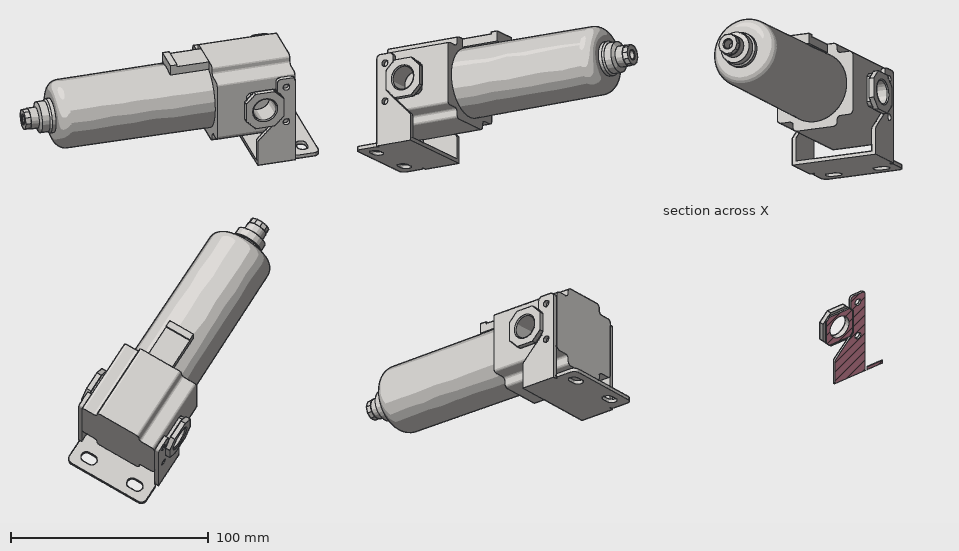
import cadquery as cq
import math


BODY_WIDTH = 43.0
BODY_HEIGHT = 43.5
SHOULDER_HEIGHT = 33.0
SPINE_WIDTH = 25.0
BODY_BACK = 17.2
BODY_FRONT = -23.8
BODY_RADIUS = 2.1

OVERALL_WIDTH = 52.5
FLANGE_SIZE = 20.0
FLANGE_CORNER = 5.0
FLANGE_THICKNESS = 2.7
NECK_SIZE = 17.1
NECK_CORNER = 2.0
PORT_DIAMETER = 12.0
PORT_DEPTH = 12.0
PORT_CHAMFER = 0.6

BOWL_ROOT_RADIUS = 18.0
BOWL_END_RADIUS = 17.5
BOWL_END = -105.2
BOWL_ROUNDING = 5.8

COLLAR_RADIUS = 8.8
COLLAR_LENGTH = 2.8
COLLAR_BEVEL_LENGTH = 0.9
KNOB_RADIUS = 8.0
KNOB_LENGTH = 5.0
KNOB_BEVEL_LENGTH = 0.9
STEM_RADIUS = 5.4
STEM_LENGTH = 4.2
TIP_RADIUS = 5.2
TIP_SIDES = 10
TIP_END = -120.0
DRAIN_BORE_RADIUS = 2.2
DRAIN_BORE_DEPTH = 6.0
DRAIN_BORE_CHAMFER = 0.5

LEVER_WIDTH = 14.1
LEVER_FRONT = -44.2
LEVER_BOTTOM = 17.2
LEVER_TOP = 21.6
LIP_TOP = 22.6
LIP_LENGTH = 3.6

SIDE_THICKNESS = 2.2
BASE_THICKNESS = 2.0
BRACKET_BACK = 16.8
BRACKET_FRONT = -3.2
BRACKET_TOP = 15.0
BRACKET_BOTTOM = -33.0
TAB_FRONT = 7.2
NOTCH_BACK = 9.0
NOTCH_TOP = 6.3
NOTCH_BOTTOM = -6.9
BRACKET_RADIUS = 2.0
SCREW_HOLE_DIAMETER = 3.5
SCREW_HOLE_Y = 12.0
SCREW_HOLE_SPACING = 20.1
FOOT_WIDTH = 45.6
FOOT_BACK = 30.0
FOOT_FRONT = BODY_BACK
FOOT_OUTER_RADIUS = 3.0
FOOT_INNER_RADIUS = 1.2
SLOT_LENGTH = 8.7
SLOT_WIDTH = 5.5
SLOT_SPACING = 27.2
SLOT_Y = 23.1


def block(x_range, y_range, z_range):
    """Box spanning the given (low, high) limits."""
    limits = (x_range, y_range, z_range)
    sizes = [high - low for low, high in limits]
    corner = tuple(low for low, high in limits)
    return cq.Workplane("XY").box(*sizes, centered=False).translate(corner)


def make_body():
    length = BODY_BACK - BODY_FRONT
    front = cq.Workplane("XZ", origin=(0, BODY_BACK, 0))
    wings = front.rect(BODY_WIDTH, SHOULDER_HEIGHT).extrude(length)
    spine = front.rect(SPINE_WIDTH, BODY_HEIGHT).extrude(length)
    return wings.union(spine).edges("|Y").fillet(BODY_RADIUS)


def octagon_bar(size, corner, width):
    """Bar along X, centred on the port axis, with its long corners cut off."""
    return cq.Workplane("XY").box(width, size, size).edges("|X").chamfer(corner)


def make_ports():
    gap_width = OVERALL_WIDTH - 2 * FLANGE_THICKNESS
    neck = octagon_bar(NECK_SIZE, NECK_CORNER, gap_width)
    flange = octagon_bar(FLANGE_SIZE, FLANGE_CORNER, OVERALL_WIDTH)
    gap = cq.Workplane("XY").box(gap_width, FLANGE_SIZE, FLANGE_SIZE)
    return neck.union(flange.cut(gap))


def make_port_holes():
    radius = PORT_DIAMETER / 2
    mouth = OVERALL_WIDTH / 2
    profile = [
        (mouth, 0),
        (mouth, radius + PORT_CHAMFER),
        (mouth - PORT_CHAMFER, radius),
        (mouth - PORT_DEPTH, radius),
        (mouth - PORT_DEPTH, 0),
    ]
    hole = cq.Workplane("XY").polyline(profile).close().revolve(360, (0, 0), (1, 0))
    return hole.union(hole.mirror("YZ"))


def make_bowl():
    rounding_start = BOWL_END + BOWL_ROUNDING
    flat_radius = BOWL_END_RADIUS - BOWL_ROUNDING
    diagonal = BOWL_ROUNDING * math.sqrt(0.5)
    return (
        cq.Workplane("XY")
        .moveTo(0, BODY_FRONT)
        .lineTo(BOWL_ROOT_RADIUS, BODY_FRONT)
        .lineTo(BOWL_END_RADIUS, rounding_start)
        .threePointArc(
            (flat_radius + diagonal, rounding_start - diagonal),
            (flat_radius, BOWL_END),
        )
        .lineTo(0, BOWL_END)
        .close()
        .revolve(360, (0, 0), (0, 1))
    )


def make_drain():
    collar_end = BOWL_END - COLLAR_LENGTH
    knob_end = collar_end - KNOB_LENGTH
    stem_end = knob_end - STEM_LENGTH
    profile = [
        (0, BOWL_END),
        (COLLAR_RADIUS, BOWL_END),
        (COLLAR_RADIUS, collar_end + COLLAR_BEVEL_LENGTH),
        (KNOB_RADIUS, collar_end),
        (KNOB_RADIUS, knob_end + KNOB_BEVEL_LENGTH),
        (STEM_RADIUS, knob_end),
        (STEM_RADIUS, stem_end),
        (0, stem_end),
    ]
    turned = cq.Workplane("XY").polyline(profile).close().revolve(360, (0, 0), (0, 1))
    tip = (
        cq.Workplane("XZ", origin=(0, stem_end, 0))
        .polygon(TIP_SIDES, 2 * TIP_RADIUS)
        .extrude(stem_end - TIP_END)
    )
    bore = (
        cq.Workplane("XZ", origin=(0, TIP_END + DRAIN_BORE_DEPTH, 0))
        .circle(DRAIN_BORE_RADIUS)
        .extrude(DRAIN_BORE_DEPTH)
    )
    drain = turned.union(tip).cut(bore)
    return drain.faces("<Y").edges("%CIRCLE").chamfer(DRAIN_BORE_CHAMFER)


def make_lever():
    across = (-LEVER_WIDTH / 2, LEVER_WIDTH / 2)
    arm = block(across, (LEVER_FRONT, BODY_FRONT), (LEVER_BOTTOM, LEVER_TOP))
    lip = block(across, (LEVER_FRONT, LEVER_FRONT + LIP_LENGTH), (LEVER_TOP, LIP_TOP))
    return arm.union(lip)


def make_bracket():
    half_width = BODY_WIDTH / 2 + SIDE_THICKNESS
    slope_start = NOTCH_TOP + (NOTCH_BACK - TAB_FRONT)
    slope_end = NOTCH_BOTTOM - (NOTCH_BACK - BRACKET_FRONT)
    outline = [
        (BRACKET_BACK, BRACKET_TOP),
        (TAB_FRONT, BRACKET_TOP),
        (TAB_FRONT, slope_start),
        (NOTCH_BACK, NOTCH_TOP),
        (NOTCH_BACK, NOTCH_BOTTOM),
        (BRACKET_FRONT, slope_end),
        (BRACKET_FRONT, BRACKET_BOTTOM),
        (BRACKET_BACK, BRACKET_BOTTOM),
    ]
    side = cq.Workplane("YZ", origin=(-half_width, 0, 0))
    plate = side.polyline(outline).close().extrude(2 * half_width)
    plate = plate.edges("|X and >Z").fillet(BRACKET_RADIUS)
    slope_corner = cq.selectors.NearestToPointSelector((0, BRACKET_FRONT, slope_end))
    plate = plate.edges(slope_corner).fillet(BRACKET_RADIUS)

    screw_holes = (
        side.pushPoints([(SCREW_HOLE_Y, sign * SCREW_HOLE_SPACING / 2) for sign in (-1, 1)])
        .circle(SCREW_HOLE_DIAMETER / 2)
        .extrude(2 * half_width)
    )
    inside = block(
        (-BODY_WIDTH / 2, BODY_WIDTH / 2),
        (BRACKET_FRONT, BRACKET_BACK),
        (BRACKET_BOTTOM + BASE_THICKNESS, BRACKET_TOP),
    )
    return plate.cut(screw_holes).cut(inside).union(make_foot())


def make_foot():
    base = (BRACKET_BOTTOM, BRACKET_BOTTOM + BASE_THICKNESS)
    foot = block((-FOOT_WIDTH / 2, FOOT_WIDTH / 2), (FOOT_FRONT, FOOT_BACK), base)
    foot = foot.edges("|Z and >Y").fillet(FOOT_OUTER_RADIUS)
    foot = foot.edges("|Z and <Y").fillet(FOOT_INNER_RADIUS)
    link_half = FOOT_WIDTH / 2 - FOOT_INNER_RADIUS
    link = block((-link_half, link_half), (BRACKET_BACK, FOOT_FRONT), base)
    slots = (
        cq.Workplane("XY", origin=(0, SLOT_Y, BRACKET_BOTTOM))
        .pushPoints([(sign * SLOT_SPACING / 2, 0) for sign in (-1, 1)])
        .slot2D(SLOT_LENGTH, SLOT_WIDTH)
        .extrude(BASE_THICKNESS)
    )
    return foot.union(link).cut(slots)


result = (
    make_body()
    .union(make_bracket())
    .union(make_ports())
    .cut(make_port_holes())
    .union(make_bowl())
    .union(make_drain())
    .union(make_lever())
)